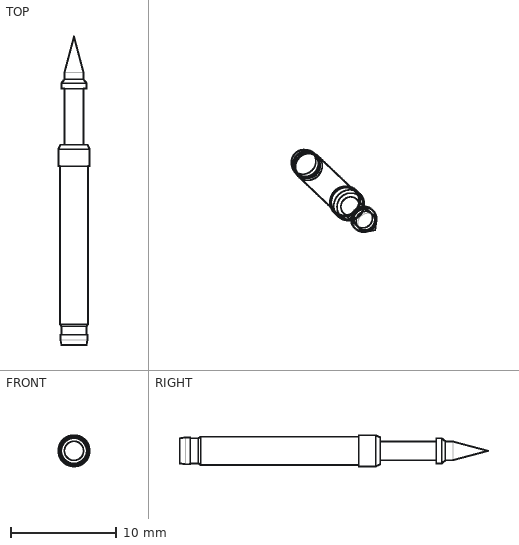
import cadquery as cq


total_length = 29.3
tail_bevel_top = 0.53
tail_ring_top = 1.0
groove_top = 1.8
barrel_bottom = 2.0
collar_bottom = 17.0
collar_bevel_bottom = 18.6
collar_top = 19.05
stop_ring_bottom = 24.35
stop_ring_bevel_bottom = 24.88
stop_ring_top = 25.23
cone_base = 25.9

tail_face_radius = 1.2
tail_ring_radius = 1.3
groove_radius = 1.2
barrel_radius = 1.35
collar_radius = 1.5
collar_top_radius = 1.3
plunger_radius = 0.9
stop_ring_radius = 1.2

tail = [
    (0, 0),
    (tail_face_radius, 0),
    (tail_ring_radius, tail_bevel_top),
    (tail_ring_radius, tail_ring_top),
    (groove_radius, tail_ring_top),
    (groove_radius, groove_top),
]
barrel = [
    (barrel_radius, barrel_bottom),
    (barrel_radius, collar_bottom),
]
collar = [
    (collar_radius, collar_bottom),
    (collar_radius, collar_bevel_bottom),
    (collar_top_radius, collar_top),
]
plunger = [
    (plunger_radius, collar_top),
    (plunger_radius, stop_ring_bottom),
    (stop_ring_radius, stop_ring_bottom),
    (stop_ring_radius, stop_ring_bevel_bottom),
    (plunger_radius, stop_ring_top),
    (plunger_radius, cone_base),
    (0, total_length),
]

result = (
    cq.Workplane("XY")
    .polyline(tail + barrel + collar + plunger)
    .close()
    .revolve(360, (0, 0, 0), (0, 1, 0))
)